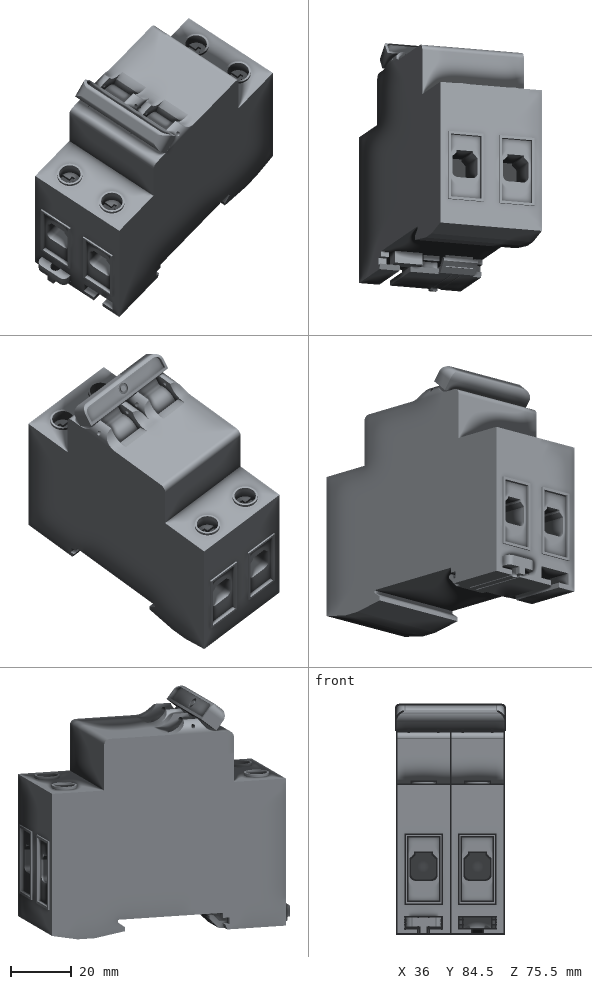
import cadquery as cq
import math


pole_width = 17.7
pole_length = 80.95
shoulder_height = 49.3
deck_height = 66.4
deck_length = 44.95
deck_edge_radius = 2.0
end_y = pole_length / 2
deck_end_y = deck_length / 2
pole_centers = (-pole_width / 2, pole_width / 2)

rail_height = 5.7
rail_back_y = 17.7
hook_tip_y = 15.2
hook_root_height = 4.7
hook_tip_height = 3.0
flange_height = 1.7
foot_flat_y = (25.8, 31.7)
rail_front_y = -18.8
notch_height = 4.0
notch_end_y = -20.95
flange_tip_y = -19.5
flange_root_y = -20.2

clip_slot_width = 12.1
tongue_slot_width = 3.7
guide_width = 9.55
guide_back_y = -16.4
guide_length = 4.9

terminal_y = 33.3
rim_diameter = 8.3
rim_height = 0.9
well_diameter = 7.0
screw_depth = 4.1
screw_height = 3.4
screw_slot_width = 1.2
screw_slot_depth = 1.0
cross_length = 4.0
cross_width = 1.3
frame_width = 12.2
frame_bottom = 9.9
frame_top = 32.8
frame_wall = 0.85
frame_projection = 0.5
frame_recess_depth = 1.3
wire_width = 8.8
wire_bottom = 17.75
wire_top = 26.9
wire_flat = 5.75
wire_corner_radius = 1.9
wire_step = 0.8
wire_shoulder = 2.2
wire_depth = 11.8

axis_y = -8.6
axis_height = 60.9

ear_rise = 4.05
ear_foot_reach = 8.45
ear_crest_reach = 2.5
pin_hole_diameter = 1.35
pin_hole_height = 68.6

lever_slot_width = 10.0
slot_edge_reach = 9.2
slot_ramp_reach = 6.1
slot_ramp_drop = 0.7
slot_wall_reach = 4.9
slot_wall_drop = 2.4
slot_clearance = 0.1
stalk_relief_reach = 6.8
drum_width = 9.8
drum_radius = 5.8
stalk_width = 9.3
stalk_thickness = 3.55
stalk_fillet = 1.35
lever_tilt = 38.3

handle_length = 36.0
handle_thickness = 6.5
handle_straight = 3.9
handle_crown = 2.95
handle_side_radius = 3.9
handle_edge_fillet = 1.0
handle_corner_y = -11.15
handle_corner_height = 71.0
pocket_inset = 0.85
pocket_top = 5.8
pocket_depth = 1.1
pocket_corner_radius = 2.1
groove_outer_diameter = 3.7
groove_inner_diameter = 2.0
groove_depth = 0.6

clip_front_y = -43.5
clip_width = 11.9
clip_head_back_y = -37.2
clip_head_top = 5.7
clip_plate_top = 2.3
clip_corner_radius = 2.0
pull_hole_diameter = 3.4
pull_hole_y = -40.8
tongue_width = 2.5
jaw_tip_y = -14.95
jaw_tip_bottom = 3.4
jaw_tip_top = 4.2
jaw_top = 4.6
jaw_crest_y = -16.2
clip_flare_radius = 2.95


def centered_box(width, x, y_range, z_range):
    """Box of the given width centered on x, between Y and Z limits."""
    length = y_range[1] - y_range[0]
    height = z_range[1] - z_range[0]
    corner = (x - width / 2, y_range[0], z_range[0])
    return cq.Workplane("XY").box(width, length, height, centered=False).translate(corner)


def across(outline, width, x):
    """Extrudes a closed YZ outline to a width centered on x."""
    return outline.extrude(width / 2, both=True).translate((x, 0, 0))


def both_ends(feature):
    """A feature of the -Y end together with its mirror at the +Y end."""
    return feature.union(feature.mirror("XZ"))



def housing_shell(x):
    outline = cq.Workplane("YZ").polyline([
        (-end_y, 0),
        (-end_y, shoulder_height),
        (-deck_end_y, shoulder_height),
        (-deck_end_y, deck_height),
        (deck_end_y, deck_height),
        (deck_end_y, shoulder_height),
        (end_y, shoulder_height),
        (end_y, flange_height),
        (foot_flat_y[1], 0),
        (foot_flat_y[0], 0),
        (hook_tip_y, flange_height),
        (hook_tip_y, hook_tip_height),
        (rail_back_y, hook_root_height),
        (rail_back_y, rail_height),
        (rail_front_y, rail_height),
        (rail_front_y, notch_height),
        (notch_end_y, notch_height),
        (notch_end_y, flange_height),
        (flange_tip_y, flange_height),
        (flange_root_y, 0),
    ]).close()
    return across(outline, pole_width, x).faces(">Z").edges("|X").fillet(deck_edge_radius)


def ears(x):
    """Hump over the deck: a Y profile with hollow flanks, trimmed by rounded outer sides."""
    crest = deck_height + ear_rise
    run = ear_foot_reach - ear_crest_reach
    flank_radius = (run**2 + ear_rise**2) / (2 * ear_rise)
    half_sweep = math.atan2(ear_rise, run)
    mid_reach = ear_foot_reach - flank_radius * math.sin(half_sweep)
    mid_height = deck_height + flank_radius * (1 - math.cos(half_sweep))
    profile = (cq.Workplane("YZ").moveTo(axis_y + ear_foot_reach, deck_height)
               .threePointArc((axis_y + mid_reach, mid_height), (axis_y + ear_crest_reach, crest))
               .lineTo(axis_y - ear_crest_reach, crest)
               .threePointArc((axis_y - mid_reach, mid_height), (axis_y - ear_foot_reach, deck_height))
               .close())
    hump = across(profile, pole_width, x)

    half_width = pole_width / 2
    crown_x = half_width - ear_rise
    diagonal = ear_rise * math.sqrt(0.5)
    dome = (cq.Workplane("XZ").moveTo(-half_width, deck_height)
            .threePointArc((-crown_x - diagonal, deck_height + diagonal), (-crown_x, crest))
            .lineTo(crown_x, crest)
            .threePointArc((crown_x + diagonal, deck_height + diagonal), (half_width, deck_height))
            .close().extrude(deck_length / 2, both=True).translate((x, 0, 0)))
    pin_hole = across(cq.Workplane("YZ").center(axis_y, pin_hole_height).circle(pin_hole_diameter / 2),
                      pole_width, x)
    return hump.intersect(dome).cut(pin_hole)


def lever_slot(x):
    """Opening with shallow ramps and steep walls above a round bed for the drum."""
    profile = [
        (slot_edge_reach, deck_height + ear_rise),
        (slot_edge_reach, deck_height),
        (slot_ramp_reach, deck_height - slot_ramp_drop),
        (slot_wall_reach, deck_height - slot_wall_drop),
    ]
    back = [(axis_y + reach, z) for reach, z in profile]
    front = [(axis_y - reach, z) for reach, z in reversed(profile)]
    opening = across(cq.Workplane("YZ").polyline(back + front).close(), lever_slot_width, x)
    bed = cq.Workplane("YZ").center(axis_y, axis_height).circle(drum_radius + slot_clearance)
    stalk_relief = centered_box(lever_slot_width, x, (axis_y - stalk_relief_reach, axis_y),
                                (axis_height, deck_height))
    return opening.union(across(bed, lever_slot_width, x)).union(stalk_relief)


def terminal_rim(x):
    rim = (cq.Workplane("XY", origin=(x, -terminal_y, shoulder_height))
           .circle(rim_diameter / 2).extrude(rim_height))
    return both_ends(rim)


def screw_well(x):
    rim_top = shoulder_height + rim_height
    well = (cq.Workplane("XY", origin=(x, -terminal_y, rim_top))
            .circle(well_diameter / 2).extrude(-screw_depth - screw_height))
    return both_ends(well)


def terminal_frame(x):
    frame = centered_box(frame_width, x, (-end_y - frame_projection, -end_y), (frame_bottom, frame_top))
    return both_ends(frame)


def wire_entry(x):
    """Shallow panel recess inside the frame and the wire hole behind it."""
    face_y = -end_y - frame_projection
    recess = centered_box(frame_width - 2 * frame_wall, x, (face_y, face_y + frame_recess_depth),
                          (frame_bottom + frame_wall, frame_top - frame_wall))
    half = wire_width / 2
    half_flat = wire_flat / 2
    hole = (cq.Workplane("XZ", origin=(x, face_y, 0)).polyline([
        (-half, wire_bottom),
        (half, wire_bottom),
        (half, wire_top - wire_shoulder),
        (half_flat, wire_top - wire_step),
        (half_flat, wire_top),
        (-half_flat, wire_top),
        (-half_flat, wire_top - wire_step),
        (-half, wire_top - wire_shoulder),
    ]).close().extrude(-frame_recess_depth - wire_depth))
    hole = hole.faces("<Z").edges("|Y").fillet(wire_corner_radius)
    return both_ends(recess.union(hole))


def clip_slot(x):
    """T-shaped slot from the -Y end to the rail recess."""
    y_range = (-end_y, rail_front_y)
    upper = centered_box(clip_slot_width, x, y_range, (flange_height, rail_height))
    lower = centered_box(tongue_slot_width, x, y_range, (0, flange_height))
    return upper.union(lower)


def guide_block(x):
    return centered_box(guide_width, x, (guide_back_y - guide_length, guide_back_y),
                        (flange_height, rail_height))


def make_housing(x):
    housing = housing_shell(x).union(ears(x)).cut(lever_slot(x))
    housing = housing.union(terminal_rim(x)).cut(screw_well(x))
    housing = housing.union(terminal_frame(x)).cut(wire_entry(x))
    return housing.cut(clip_slot(x)).union(guide_block(x))



def make_screw(x, y):
    top = shoulder_height + rim_height - screw_depth
    screw = (cq.Workplane("XY", origin=(x, y, top - screw_height))
             .circle(well_diameter / 2).extrude(screw_height))
    recess = cq.Workplane("XY", origin=(x, y, top))
    slot = recess.rect(well_diameter, screw_slot_width).extrude(-screw_slot_depth)
    cross = recess.rect(cross_width, cross_length).extrude(-screw_slot_depth)
    return screw.cut(slot).cut(cross)



tilt = math.radians(lever_tilt)
lever_axis = cq.Vector(0, -math.sin(tilt), math.cos(tilt))
handle_back = cq.Vector(0, math.cos(tilt), math.sin(tilt))
handle_corner = cq.Vector(0, handle_corner_y, handle_corner_height)
drum_center = cq.Vector(0, axis_y, axis_height)
stalk_length = (handle_corner - drum_center).dot(lever_axis)


def make_lever(x):
    center = drum_center + cq.Vector(x, 0, 0)
    drum = across(cq.Workplane("YZ").center(axis_y, axis_height).circle(drum_radius), drum_width, x)
    plane = cq.Plane(origin=center, xDir=(1, 0, 0), normal=lever_axis)
    stalk = cq.Workplane(plane).rect(stalk_width, stalk_thickness).extrude(stalk_length)
    lever = drum.union(stalk)
    root = center + lever_axis * math.sqrt(drum_radius**2 - (stalk_thickness / 2)**2)
    for side in (-1, 1):
        root_point = root + handle_back * (side * stalk_thickness / 2)
        root_edge = cq.selectors.NearestToPointSelector(root_point.toTuple())
        lever = lever.edges("|X").edges(root_edge).fillet(stalk_fillet)
    return lever



def make_handle():
    """Bar with a crowned section and rounded ends, hollowed from the back."""
    height = handle_straight + handle_crown
    half = handle_thickness / 2
    sweep = math.asin(handle_crown / handle_side_radius)

    def side_point(angle):
        inset = handle_side_radius * (1 - math.cos(angle))
        return half - inset, handle_straight + handle_side_radius * math.sin(angle)

    mid_offset, mid_height = side_point(sweep / 2)
    end_offset, _ = side_point(sweep)
    section = (cq.Workplane("YZ").moveTo(-half, 0)
               .lineTo(half, 0)
               .lineTo(half, handle_straight)
               .threePointArc((mid_offset, mid_height), (end_offset, height))
               .lineTo(-end_offset, height)
               .threePointArc((-mid_offset, mid_height), (-half, handle_straight))
               .close())
    bar = across(section, handle_length, 0).faces(">Z").edges("|X").fillet(handle_edge_fillet)
    elevation = (cq.Workplane("XY")
                 .box(handle_length, handle_thickness, height, centered=(True, True, False))
                 .faces(">Z").edges("|Y").fillet(handle_crown))
    pocket_height = pocket_top - pocket_inset
    pocket = (cq.Workplane("XY", origin=(0, half - pocket_depth / 2, pocket_inset))
              .box(handle_length - 2 * pocket_inset, pocket_depth, pocket_height,
                   centered=(True, True, False))
              .faces(">Z").edges("|Y").fillet(pocket_corner_radius))
    floor = cq.Workplane("XZ", origin=(0, half - pocket_depth, pocket_inset + pocket_height / 2))
    groove_outline = floor.circle(groove_outer_diameter / 2).circle(groove_inner_diameter / 2)
    handle = bar.intersect(elevation).cut(pocket).cut(groove_outline.extrude(groove_depth))
    bottom_center = handle_corner - handle_back * half
    return handle.rotate((0, 0, 0), (1, 0, 0), lever_tilt).translate(bottom_center)



def clip_jaw(x):
    jaw_drop = jaw_top - clip_plate_top
    outline = cq.Workplane("YZ").polyline([
        (jaw_tip_y, jaw_tip_bottom),
        (jaw_tip_y, jaw_tip_top),
        (jaw_tip_y - (jaw_top - jaw_tip_top), jaw_top),
        (jaw_crest_y, jaw_top),
        (jaw_crest_y - jaw_drop, clip_plate_top),
        (flange_tip_y, clip_plate_top),
        (flange_tip_y, flange_height),
        (flange_root_y, 0),
        (jaw_tip_y - jaw_tip_bottom, 0),
    ]).close()
    return across(outline, clip_width, x)


def clip_plate(x):
    """Thin plate over the flange, flaring from the tongue to the full width."""
    half_tongue = tongue_width / 2
    half_width = clip_width / 2
    flare_y = clip_head_back_y + clip_flare_radius
    flare_x = half_tongue + clip_flare_radius
    bend = clip_flare_radius * (1 - math.sqrt(0.5))
    outline = (cq.Workplane("XY", origin=(x, 0, flange_height))
               .moveTo(half_tongue, clip_head_back_y)
               .threePointArc((half_tongue + bend, flare_y - bend), (flare_x, flare_y))
               .lineTo(half_width, flare_y)
               .lineTo(half_width, flange_tip_y)
               .lineTo(-half_width, flange_tip_y)
               .lineTo(-half_width, flare_y)
               .lineTo(-flare_x, flare_y)
               .threePointArc((-half_tongue - bend, flare_y - bend), (-half_tongue, clip_head_back_y))
               .close())
    return outline.extrude(clip_plate_top - flange_height)


def make_clip(x):
    """Pull head, tongue, plate and jaw; the jaw end passes around the guide block."""
    head = centered_box(clip_width, x, (clip_front_y, clip_head_back_y), (clip_plate_top, clip_head_top))
    head = head.faces("<Y").edges("|Z").fillet(clip_corner_radius)
    tongue = centered_box(tongue_width, x, (clip_front_y, flange_root_y), (0, clip_plate_top))
    clip = head.union(tongue).union(clip_plate(x)).union(clip_jaw(x)).cut(guide_block(x))
    pull_hole = (cq.Workplane("XY", origin=(x, pull_hole_y, 0))
                 .circle(pull_hole_diameter / 2).extrude(clip_head_top))
    return clip.cut(pull_hole)


housings = [make_housing(x) for x in pole_centers]
screws = [make_screw(x, y) for x in pole_centers for y in (-terminal_y, terminal_y)]
levers = [make_lever(x) for x in pole_centers]
handle = make_handle()
clip = make_clip(pole_centers[0])

bodies = [*housings, *screws, *levers, handle, clip]
result = cq.Compound.makeCompound([body.val() for body in bodies])